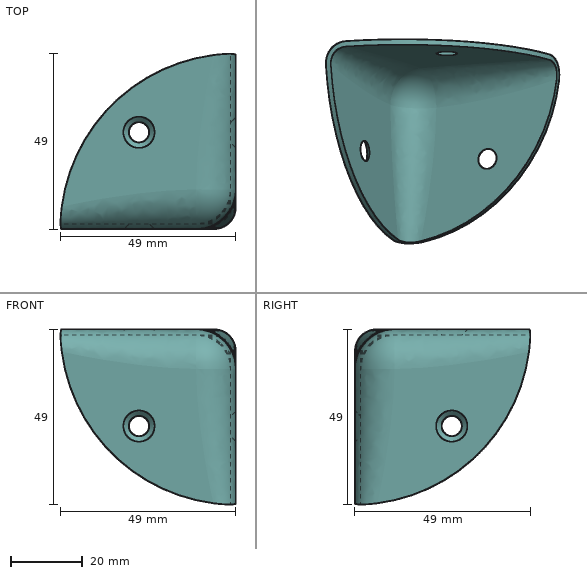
import cadquery as cq
import math

overall_size = 49.0
wall = 1.55
corner_radius = 11.1
rim_edge_radius = 6.2
taper_power = 1.7
taper_steps = 4
overrun = 2.45
hole_offset = 27.05
hole_diameter = 5.6

block_size = overall_size + overrun
taper_length = overall_size - corner_radius

rim_inset = rim_edge_radius * (1 - math.sqrt(0.5))
rim_radius = math.hypot(overall_size, rim_inset)


def on_three_sides(shape):
    """Copies of a shape turned about the corner diagonal, one for each axis."""
    return [shape.rotate((0, 0, 0), (1, 1, 1), turn) for turn in (0, 120, 240)]


def edge_radius(distance):
    """Outer rounding radius at a distance along an edge from the sharp corner."""
    progress = (distance - corner_radius) / taper_length
    return corner_radius - (corner_radius - rim_edge_radius) * progress**taper_power


def edge_waste(inset):
    """Material outside the tapering round along the Z edge."""
    sections = []
    step = (block_size - corner_radius) / taper_steps
    for index in range(taper_steps + 1):
        height = corner_radius + index * step
        tangent = edge_radius(height)
        middle = tangent - (tangent - inset) * math.sqrt(0.5)
        section = (
            cq.Workplane("XY", origin=(0, 0, height))
            .moveTo(inset, inset)
            .lineTo(tangent, inset)
            .threePointArc((middle, middle), (inset, tangent))
            .close()
        )
        sections.append(section.val())
    return cq.Workplane(cq.Solid.makeLoft(sections))


def rounded_block(inset):
    """Block with its faces set in from the outer faces and its corner rounded."""
    size = block_size - inset
    block = cq.Workplane().box(size, size, size, centered=False)
    block = block.translate((inset, inset, inset))
    for waste in on_three_sides(edge_waste(inset)):
        block = block.cut(waste)

    cube_size = corner_radius - inset
    corner_cube = cq.Workplane().box(cube_size, cube_size, cube_size, centered=False)
    corner_cube = corner_cube.translate((inset, inset, inset))
    ball_octant = (
        cq.Workplane("XZ")
        .lineTo(-cube_size, 0)
        .radiusArc((0, -cube_size), -cube_size)
        .close()
        .revolve(90, (0, 0), (0, 1))
        .translate((corner_radius,) * 3)
    )
    return block.cut(corner_cube).union(ball_octant)


def screw_hole():
    """Conical screw hole through the flange on the XY plane."""
    return (
        cq.Workplane()
        .center(hole_offset, hole_offset)
        .circle(hole_diameter / 2 + wall)
        .workplane(offset=wall)
        .circle(hole_diameter / 2)
        .loft()
    )


guard = rounded_block(0).cut(rounded_block(wall))

rim_cylinder = cq.Workplane().circle(rim_radius).extrude(block_size)
for rim in on_three_sides(rim_cylinder):
    guard = guard.intersect(rim)

for hole in on_three_sides(screw_hole()):
    guard = guard.cut(hole)

result = guard.rotate((0, 0, 0), (0, 1, 0), 180)